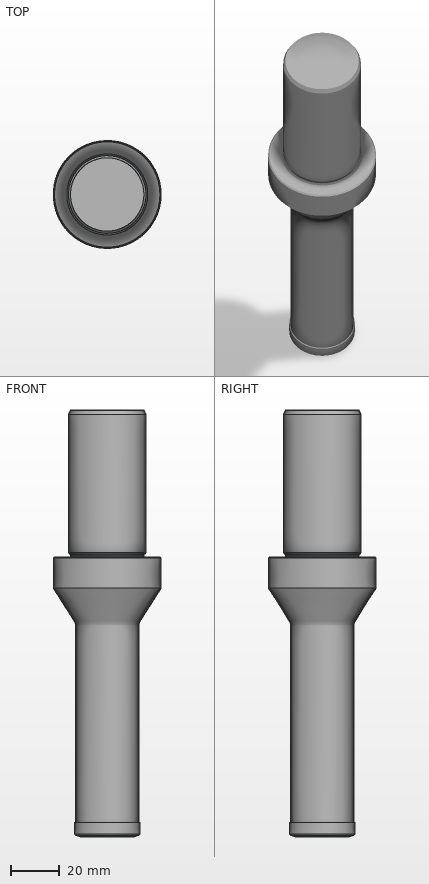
import cadquery as cq

total_height = 175.4
shank_chamfer_height = 1.8
shank_bottom = 116.8
collar_top = 115.0
collar_bottom = 102.3
cone_bottom = 89.0
blend_bottom = 87.0
tip_height = 5.8

collar_diameter = 44.4
shank_radius = 16.0
shank_top_radius = 15.0
groove_radius = 15.0
collar_radius = collar_diameter / 2
blend_top_radius = 13.7
rod_radius = 13.0
tip_radius = 13.5
tip_face_radius = 11.0

groove_depth = shank_radius - groove_radius
recess_depth = 0.4
recess_outer_radius = 16.7

collar_chamfer = 0.5
tip_chamfer = 0.7
tip_bevel_height = 0.5


def make_holder():
    """Shank, root undercut, collar, cone and rod, revolved about Z."""
    return (
        cq.Workplane("XZ")
        .moveTo(0, tip_height)
        .lineTo(0, total_height)
        .lineTo(shank_top_radius, total_height)
        .lineTo(shank_radius, total_height - shank_chamfer_height)
        .lineTo(shank_radius, shank_bottom)
        .lineTo(groove_radius, shank_bottom - groove_depth)
        .lineTo(groove_radius, collar_top - recess_depth)
        .lineTo(shank_radius, collar_top - recess_depth)
        .lineTo(recess_outer_radius, collar_top)
        .lineTo(collar_radius - collar_chamfer, collar_top)
        .lineTo(collar_radius, collar_top - collar_chamfer)
        .lineTo(collar_radius, collar_bottom)
        .lineTo(blend_top_radius, cone_bottom)
        .tangentArcPoint((rod_radius, blend_bottom), relative=False)
        .lineTo(rod_radius, tip_height)
        .close()
        .revolve(360, (0, 0, 0), (0, 1, 0))
    )


def make_tip():
    """Slightly wider disc on the rod end, with a chamfer and a shallow bevel around its lower face."""
    return (
        cq.Workplane("XZ")
        .moveTo(0, 0)
        .lineTo(tip_face_radius, 0)
        .lineTo(tip_radius - tip_chamfer, tip_bevel_height)
        .lineTo(tip_radius, tip_bevel_height + tip_chamfer)
        .lineTo(tip_radius, tip_height)
        .lineTo(0, tip_height)
        .close()
        .revolve(360, (0, 0, 0), (0, 1, 0))
    )


holder = make_holder()
tip = make_tip()

result = cq.Compound.makeCompound([holder.val(), tip.val()])